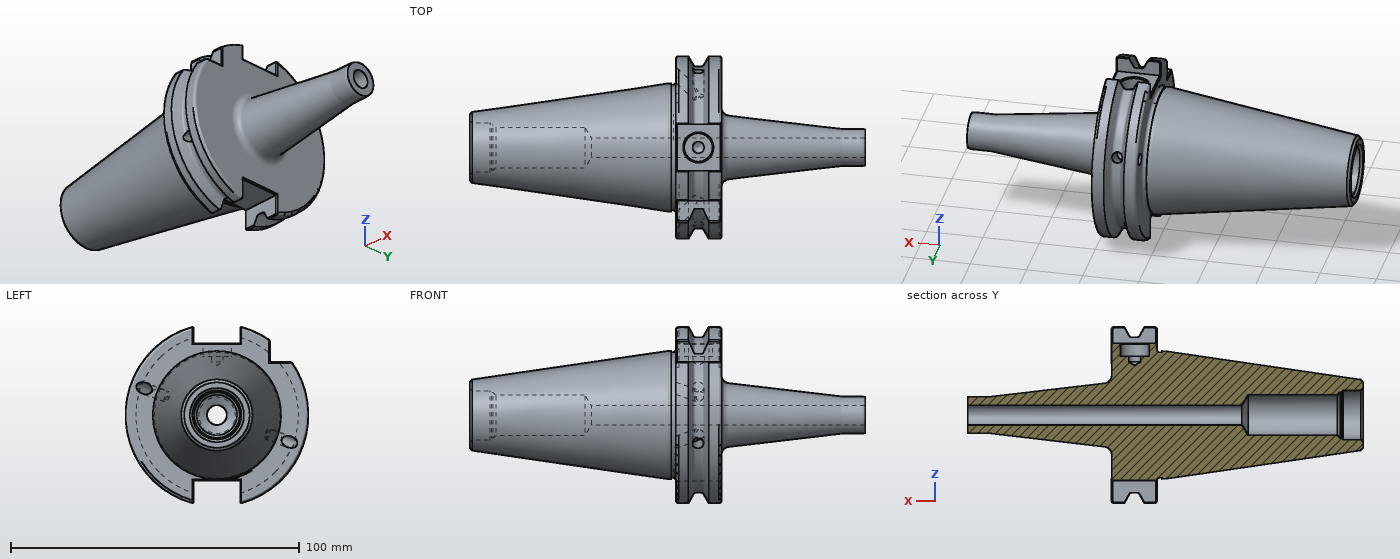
import cadquery as cq
import math


gauge_radius = 22.225
taper_length = 68.4
taper_rate_on_diameter = 7 / 24
taper_half_rate = taper_rate_on_diameter / 2
rear_chamfer = 0.9
rear_radius = gauge_radius - taper_length * taper_half_rate

land_start = 0.3
land_end = 1.6
relief_depth = 0.4
relief_fillet = 0.9

flange_radius = 31.775
flange_rear = 3.2
flange_front = 19.1
rim_fillet = 1.0

groove_center = 11.1
groove_floor_radius = 28.2
groove_half_angle = 30
groove_floor_width = 3.0
groove_fillet = 0.8

nose_length = 69.0
nose_tip_radius = 6.5
nose_tip_length = 8.2
nose_base_radius = 11.4
nose_root_fillet = 2.6
tip_chamfer_length = 1.2
tip_chamfer_depth = 0.2

through_bore_radius = 3.4
entry_radius = 8.5
entry_chamfer = 0.9
entry_depth = 7.0
thread_mouth_radius = 7.9
thread_mouth_length = 0.5
thread_radius = 7.0
thread_end = 40.0
drill_point_half_angle = 59

slot_width = 16.1
upper_slot_floor = 25.0
lower_slot_floor = 22.8
notch_offset = 18.5
cutout_chamfer = 0.45

pocket_radius = 4.9
pocket_center = 11.0
pocket_chamfer = 0.4
pocket_depth = 4.5
pilot_radius = 2.0
pilot_depth = 2.0

coolant_radius = 2.0
coolant_angle = 20.3
coolant_circle_radius = 26.9
coolant_slant = 45
coolant_outlet = 10.9
outlet_radius = 1.9


def turned_blank():
    """Solid of revolution: taper, relief, flange and nose."""
    land_radius = gauge_radius + land_start * taper_half_rate
    relief_radius = land_radius - relief_depth
    relief_end = flange_rear - relief_fillet
    nose_tip_start = nose_length - nose_tip_length
    nose_angle = math.atan((nose_base_radius - nose_tip_radius) / (nose_tip_start - flange_front))
    root_end_x = flange_front + nose_root_fillet * (1 - math.sin(nose_angle))
    root_end_radius = nose_base_radius - (root_end_x - flange_front) * math.tan(nose_angle)
    root_start_radius = root_end_radius + nose_root_fillet * math.cos(nose_angle)
    profile = (
        cq.Workplane("XZ")
        .moveTo(-taper_length, 0)
        .lineTo(-taper_length, rear_radius - rear_chamfer)
        .lineTo(-taper_length + rear_chamfer, rear_radius + rear_chamfer * taper_half_rate)
        .lineTo(land_start, land_radius)
        .lineTo(land_end, land_radius)
        .lineTo(land_end, relief_radius)
        .lineTo(relief_end, relief_radius)
        .radiusArc((flange_rear, relief_radius + relief_fillet), -relief_fillet)
        .lineTo(flange_rear, flange_radius)
        .lineTo(flange_front, flange_radius)
        .lineTo(flange_front, root_start_radius)
        .radiusArc((root_end_x, root_end_radius), -nose_root_fillet)
        .lineTo(nose_tip_start, nose_tip_radius)
        .lineTo(nose_length - tip_chamfer_length, nose_tip_radius)
        .lineTo(nose_length, nose_tip_radius - tip_chamfer_depth)
        .lineTo(nose_length, 0)
        .close()
    )
    blank = profile.revolve(360, (0, 0, 0), (1, 0, 0))
    rim = cq.selectors.RadiusNthSelector(-1)
    return blank.edges("%CIRCLE").edges(rim).fillet(rim_fillet)


def v_groove():
    """Ring with a V section and a filleted floor."""
    overshoot = 2.0
    top_radius = flange_radius + overshoot
    half_floor = groove_floor_width / 2
    half_top = half_floor + (top_radius - groove_floor_radius) * math.tan(math.radians(groove_half_angle))
    ring = (
        cq.Workplane("XY")
        .polyline(
            [
                (groove_center - half_floor, groove_floor_radius),
                (groove_center + half_floor, groove_floor_radius),
                (groove_center + half_top, top_radius),
                (groove_center - half_top, top_radius),
            ]
        )
        .close()
        .revolve(360, (0, 0, 0), (1, 0, 0))
    )
    floor_edges = cq.selectors.RadiusNthSelector(0)
    return ring.edges("%CIRCLE").edges(floor_edges).fillet(groove_fillet)


def axial_bore():
    """Stepped draw-bar bore with a drill point running into the through bore."""
    rear = -taper_length
    entry_end = rear + entry_depth
    mouth_start = entry_end + entry_radius - thread_mouth_radius
    mouth_end = mouth_start + thread_mouth_length
    thread_start = mouth_end + thread_mouth_radius - thread_radius
    thread_bottom = rear + thread_end
    point_length = (thread_radius - through_bore_radius) / math.tan(math.radians(drill_point_half_angle))
    return (
        cq.Workplane("XY")
        .polyline(
            [
                (rear, 0),
                (rear, entry_radius + entry_chamfer),
                (rear + entry_chamfer, entry_radius),
                (entry_end, entry_radius),
                (mouth_start, thread_mouth_radius),
                (mouth_end, thread_mouth_radius),
                (thread_start, thread_radius),
                (thread_bottom, thread_radius),
                (thread_bottom + point_length, through_bore_radius),
                (nose_length, through_bore_radius),
                (nose_length, 0),
            ]
        )
        .close()
        .revolve(360, (0, 0, 0), (1, 0, 0))
    )


def cut_flange(body, y_min, y_max, floor_z, direction):
    """Cut across the flange outwards from floor_z along +Z or -Z and chamfer the outer edges of the cut."""
    lower = (flange_rear, y_min, direction * floor_z)
    upper = (flange_front, y_max, direction * (floor_z + flange_radius))
    center = [(a + b) / 2 for a, b in zip(lower, upper)]
    block = cq.Workplane("XY").box(flange_front - flange_rear, y_max - y_min, flange_radius)
    body = body.cut(block.translate(center))

    margin = 0.01
    corner_a = (lower[0] - margin, y_min - margin, lower[2] - direction * margin)
    corner_b = (upper[0] + margin, y_max + margin, upper[2])
    walls = body.faces(cq.selectors.BoxSelector(corner_a, corner_b, boundingbox=True)).vals()
    wall_edges = [edge for wall in walls for edge in wall.Edges()]
    outer_edges = [edge for edge in wall_edges if sum(edge.isSame(other) for other in wall_edges) == 1]
    return body.newObject(outer_edges).chamfer(cutout_chamfer)


def drilled_hole(radius, depth, start, direction):
    """Round hole with a conical drill point beyond the given depth."""
    point_length = radius / math.tan(math.radians(drill_point_half_angle))
    barrel = cq.Solid.makeCylinder(radius, depth, start, direction)
    point = cq.Solid.makeCone(radius, 0, point_length, start + direction * depth, direction)
    return cq.Workplane(barrel.fuse(point))


def slot_pocket():
    """Chamfered round pocket with a pilot hole in its floor."""
    down = cq.Vector(0, 0, -1)
    top = cq.Vector(pocket_center, 0, upper_slot_floor)
    pocket = cq.Solid.makeCylinder(pocket_radius, pocket_depth, top, down)
    mouth = cq.Solid.makeCone(pocket_radius + pocket_chamfer, pocket_radius, pocket_chamfer, top, down)
    pilot = drilled_hole(pilot_radius, pilot_depth, top + down * pocket_depth, down)
    return cq.Workplane(pocket.fuse(mouth)).union(pilot)


def coolant_hole(angle):
    """Slanted hole from the rear flange face meeting a radial hole from the groove."""
    outward = cq.Vector(0, math.cos(math.radians(angle)), math.sin(math.radians(angle)))
    slant = math.radians(coolant_slant)
    slant_direction = cq.Vector(math.cos(slant), 0, 0) - outward * math.sin(slant)
    axial_reach = coolant_outlet - flange_rear
    meeting_radius = coolant_circle_radius - axial_reach * math.tan(slant)
    lead = 2 * coolant_radius
    mouth = cq.Vector(flange_rear, 0, 0) + outward * coolant_circle_radius
    slanted = cq.Solid.makeCylinder(
        coolant_radius, axial_reach / math.cos(slant) + lead, mouth - slant_direction * lead, slant_direction
    )
    radial_start = cq.Vector(coolant_outlet, 0, 0) + outward * flange_radius
    radial = drilled_hole(outlet_radius, flange_radius - meeting_radius, radial_start, outward * -1)
    return cq.Workplane(slanted).union(radial)


result = turned_blank()
result = cut_flange(result, -slot_width / 2, slot_width / 2, upper_slot_floor, 1)
result = cut_flange(result, -slot_width / 2, slot_width / 2, lower_slot_floor, -1)
result = cut_flange(result, -notch_offset - flange_radius, -notch_offset, notch_offset, 1)
result = result.cut(v_groove()).cut(axial_bore()).cut(slot_pocket())
for hole_angle in (coolant_angle, coolant_angle + 180):
    result = result.cut(coolant_hole(hole_angle))